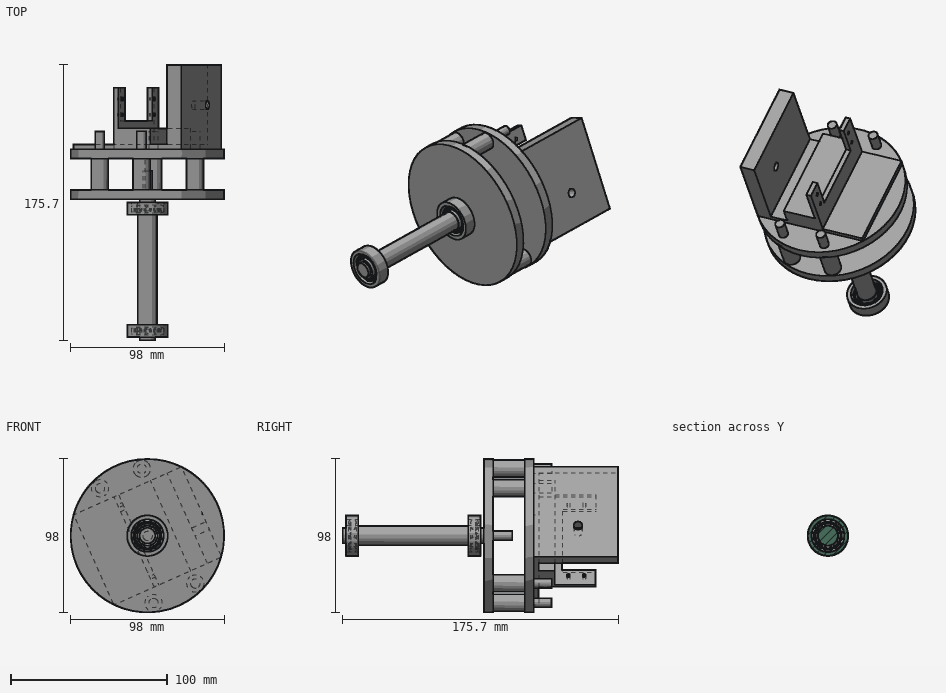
import cadquery as cq
import math


DISC_DIAMETER = 98.0
DISC_THICKNESS = 6.0
DISC_GAP = 20.0
BACK_DISC_Y = DISC_THICKNESS + DISC_GAP
BRACKET_Y = BACK_DISC_Y + DISC_THICKNESS

POST_CIRCLE_RADIUS = 43.0
POST_ANGLES = (95.0, 135.0, 275.0, 315.0)
POST_DIAMETER = 11.0
STUD_DIAMETER = 6.0
STUD_LENGTH = 11.3

SHAFT_DIAMETER = 12.5
SHAFT_LENGTH = 70.0
JOURNAL_DIAMETER = 10.0
JOURNAL_OVERHANG = 2.0
TAIL_DIAMETER = 6.0
TAIL_LENGTH = 12.3

BEARING_DIAMETER = 26.0
BEARING_WIDTH = 8.0
BEARING_EDGE_RADIUS = 0.3
OUTER_RING_BORE = 20.8
INNER_RING_DIAMETER = 13.0
BALL_COUNT = 8
BALL_DIAMETER = 4.8
BALL_CIRCLE_RADIUS = (OUTER_RING_BORE + INNER_RING_DIAMETER) / 4
CAGE_THICKNESS = 1.0
CAGE_WIDTH = 5.0

BRACKET_TILT = 24.0
BASE_LENGTH = 75.3
BASE_WIDTH = 63.0
BASE_THICKNESS = 3.0
MOTOR_PLATE_THICKNESS = 10.0
MOTOR_PLATE_HEIGHT = 53.7
MOTOR_HOLE_DIAMETER = 5.5
MOTOR_HOLE_OFFSET = 9.6
MOTOR_HOLE_HEIGHT = 28.1
FORK_POSITION = -9.5
FORK_THICKNESS = 3.3
FORK_HEIGHT = 39.3
FORK_SLOT_WIDTH = 42.3
FORK_SLOT_FLOOR = 18.0
FORK_HOLE_DIAMETER = 2.0
FORK_HOLE_SPACING = 50.0
FORK_HOLE_HEIGHTS = (22.0, 32.0)
PAD_LENGTH = 25.5
PAD_HEIGHT = 13.3


def cylinder(diameter, start_y, length, x=0.0, z=0.0):
    """Cylinder along +Y from start_y."""
    axis = cq.Vector(0, 1, 0)
    return cq.Workplane(cq.Solid.makeCylinder(diameter / 2, length, cq.Vector(x, start_y, z), axis))


def ring(outer_diameter, bore, start_y, length):
    """Hollow cylinder about the shaft axis."""
    return cylinder(outer_diameter, start_y, length).cut(cylinder(bore, start_y, length))


def bearing(start_y, rounded_side):
    """Open ball bearing with the outer rim rounded on one side ("<Y" or ">Y")."""
    outer = cylinder(BEARING_DIAMETER, start_y, BEARING_WIDTH)
    outer = outer.faces(rounded_side).edges().fillet(BEARING_EDGE_RADIUS)
    outer = outer.cut(cylinder(OUTER_RING_BORE, start_y, BEARING_WIDTH))
    inner = ring(INNER_RING_DIAMETER, JOURNAL_DIAMETER, start_y, BEARING_WIDTH)
    middle_y = start_y + BEARING_WIDTH / 2
    cage = ring(
        2 * BALL_CIRCLE_RADIUS + CAGE_THICKNESS,
        2 * BALL_CIRCLE_RADIUS - CAGE_THICKNESS,
        middle_y - CAGE_WIDTH / 2,
        CAGE_WIDTH,
    )
    body = outer.union(inner).union(cage)
    for index in range(BALL_COUNT):
        angle = 2 * math.pi * index / BALL_COUNT
        centre = (BALL_CIRCLE_RADIUS * math.cos(angle), middle_y, BALL_CIRCLE_RADIUS * math.sin(angle))
        body = body.union(cq.Workplane().sphere(BALL_DIAMETER / 2).translate(centre))
    return body


def shaft_with_bearings():
    """Shaft with a bearing on each journal and a thin tail behind the front disc."""
    inner_bearing_y = -JOURNAL_OVERHANG - BEARING_WIDTH
    shaft_y = inner_bearing_y - SHAFT_LENGTH
    outer_bearing_y = shaft_y - BEARING_WIDTH
    end_y = outer_bearing_y - JOURNAL_OVERHANG
    body = cylinder(JOURNAL_DIAMETER, end_y, -end_y)
    body = body.union(cylinder(SHAFT_DIAMETER, shaft_y, SHAFT_LENGTH))
    body = body.union(cylinder(TAIL_DIAMETER, 0, DISC_THICKNESS + TAIL_LENGTH))
    body = body.union(bearing(inner_bearing_y, ">Y"))
    return body.union(bearing(outer_bearing_y, "<Y"))


def disc_stack():
    """Two discs held apart by posts."""
    body = cylinder(DISC_DIAMETER, 0, DISC_THICKNESS)
    body = body.union(cylinder(DISC_DIAMETER, BACK_DISC_Y, DISC_THICKNESS))
    for angle in POST_ANGLES:
        x = POST_CIRCLE_RADIUS * math.cos(math.radians(angle))
        z = POST_CIRCLE_RADIUS * math.sin(math.radians(angle))
        body = body.union(cylinder(POST_DIAMETER, DISC_THICKNESS, DISC_GAP, x, z))
        body = body.union(cylinder(STUD_DIAMETER, BACK_DISC_Y, DISC_THICKNESS + STUD_LENGTH, x, z))
    return body


def bracket_block(start_x, length, start_height, height, width=BASE_WIDTH):
    """Block centred across the bracket; heights are measured from the back disc."""
    corner = (start_x, BRACKET_Y + start_height, -width / 2)
    return cq.Workplane().box(length, height, width, centered=False).translate(corner)


def hole_along_x(diameter, start_x, length, height, z):
    """Round cutter along +X, placed in bracket axes."""
    start = cq.Vector(start_x, BRACKET_Y + height, z)
    return cq.Workplane(cq.Solid.makeCylinder(diameter / 2, length, start, cq.Vector(1, 0, 0)))


def fork():
    """Upright plate with an open slot and two holes in each prong."""
    slot_depth = FORK_HEIGHT - FORK_SLOT_FLOOR
    plate = bracket_block(FORK_POSITION, FORK_THICKNESS, 0, FORK_HEIGHT)
    plate = plate.cut(
        bracket_block(FORK_POSITION, FORK_THICKNESS, FORK_SLOT_FLOOR, slot_depth, FORK_SLOT_WIDTH)
    )
    for z in (-FORK_HOLE_SPACING / 2, FORK_HOLE_SPACING / 2):
        for height in FORK_HOLE_HEIGHTS:
            plate = plate.cut(
                hole_along_x(FORK_HOLE_DIAMETER, FORK_POSITION, FORK_THICKNESS, height, z)
            )
    return plate


def motor_plate():
    """Thick upright plate at the end of the base, with one cross hole."""
    start_x = BASE_LENGTH / 2 - MOTOR_PLATE_THICKNESS
    plate = bracket_block(start_x, MOTOR_PLATE_THICKNESS, 0, MOTOR_PLATE_HEIGHT)
    return plate.cut(
        hole_along_x(
            MOTOR_HOLE_DIAMETER, start_x, MOTOR_PLATE_THICKNESS, MOTOR_HOLE_HEIGHT, -MOTOR_HOLE_OFFSET
        )
    )


def bracket():
    """Base plate carrying the pad, the fork and the motor plate."""
    body = bracket_block(-BASE_LENGTH / 2, BASE_LENGTH, 0, BASE_THICKNESS)
    body = body.union(bracket_block(FORK_POSITION, PAD_LENGTH, 0, PAD_HEIGHT))
    body = body.union(fork()).union(motor_plate())
    return body.rotate((0, 0, 0), (0, 1, 0), -BRACKET_TILT)


result = disc_stack().union(shaft_with_bearings()).union(bracket())